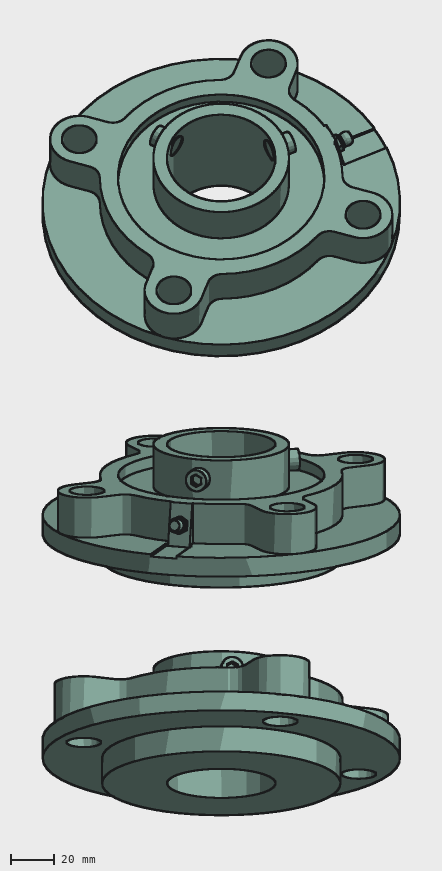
import cadquery as cq
import math

spigot_top = 12.0
flange_top = 21.0
body_top = 40.0
bearing_top = 54.6
recess_floor = 34.5

flange_diameter = 165.0
spigot_diameter = 110.0
body_diameter = 112.0
recess_diameter = 95.2
inner_ring_diameter = 62.6
bore_diameter = 50.0

lug_count = 4
first_lug_angle = 45.0
bolt_circle_diameter = 138.0
bolt_hole_diameter = 16.0
lug_radius = (flange_diameter - bolt_circle_diameter) / 2
lug_root_radius = 7.0

screw_diameter = 10.0
screw_height = 45.6
screw_recess = 0.2
screw_inner_end = bore_diameter / 2 + screw_recess
screw_outer_end = 36.0
screw_angles = (90.0, 210.0)
socket_across_flats = 5.0
socket_depth = 3.0

pad_width = 10.5
pad_tilt = 11.0
pad_top_reach = 56.8
pad_root_reach = (recess_diameter + body_diameter) / 4
pad_slope = math.tan(math.radians(pad_tilt))
pad_foot_reach = pad_top_reach + (body_top - flange_top) * pad_slope

groove_width = 12.5
groove_depth = 1.0

fitting_height = 29.9
fitting_hex_across_flats = 7.0
fitting_head_diameter = 6.7
fitting_neck_diameter = 6.0
fitting_tip_diameter = 4.9
fitting_hex_length = 2.5
fitting_neck_station = 3.7
fitting_head_station = 5.6
fitting_length = 8.2
fitting_dome_bulge = 0.25
fitting_root_depth = 2.0


def disc(diameter, bottom, top):
    """Upright cylinder on the Z axis between two levels."""
    return cq.Workplane("XY").workplane(offset=bottom).circle(diameter / 2).extrude(top - bottom)


def hexagon_circumdiameter(across_flats):
    """Diameter of the circle through the corners of a hexagon."""
    return across_flats / math.cos(math.radians(30))


def make_lug():
    """Lug along +X with parallel sides that blend into the round body."""
    bolt_radius = bolt_circle_diameter / 2
    body_radius = body_diameter / 2
    root_center_y = lug_radius + lug_root_radius
    root_center_distance = body_radius + lug_root_radius
    root_center_x = math.sqrt(root_center_distance**2 - root_center_y**2)
    body_share = body_radius / root_center_distance
    body_point = (root_center_x * body_share, root_center_y * body_share)

    body_direction = math.atan2(-root_center_y, -root_center_x) % (2 * math.pi)
    side_direction = 1.5 * math.pi
    middle_direction = (body_direction + side_direction) / 2
    root_middle = (
        root_center_x + lug_root_radius * math.cos(middle_direction),
        root_center_y + lug_root_radius * math.sin(middle_direction),
    )
    return (
        cq.Workplane("XY")
        .workplane(offset=flange_top)
        .moveTo(0, 0)
        .lineTo(*body_point)
        .threePointArc(root_middle, (root_center_x, lug_radius))
        .lineTo(bolt_radius, lug_radius)
        .threePointArc((bolt_radius + lug_radius, 0), (bolt_radius, -lug_radius))
        .lineTo(root_center_x, -lug_radius)
        .threePointArc((root_middle[0], -root_middle[1]), (body_point[0], -body_point[1]))
        .close()
        .extrude(body_top - flange_top)
    )


def make_pad():
    """Wedge whose outer face leans back toward the top of the body."""
    return (
        cq.Workplane("YZ")
        .moveTo(pad_root_reach, flange_top)
        .lineTo(pad_foot_reach, flange_top)
        .lineTo(pad_top_reach, body_top)
        .lineTo(pad_root_reach, body_top)
        .close()
        .extrude(pad_width / 2, both=True)
    )


def make_groove():
    """Flat-bottomed groove running from the foot of the pad out through the flange rim."""
    length = flange_diameter / 2 - pad_foot_reach
    return (
        cq.Workplane("XY")
        .box(groove_width, length, groove_depth, centered=(True, False, False))
        .translate((0, pad_foot_reach, flange_top - groove_depth))
    )


def make_housing():
    """Stepped round body with lugs, fitting pad, groove, bearing recess and bolt holes."""
    housing = disc(spigot_diameter, 0, spigot_top)
    housing = housing.union(disc(flange_diameter, spigot_top, flange_top))
    housing = housing.union(disc(body_diameter, flange_top, body_top))
    lug = make_lug()
    for index in range(lug_count):
        angle = first_lug_angle + index * 360 / lug_count
        housing = housing.union(lug.rotate((0, 0, 0), (0, 0, 1), angle))
    housing = housing.union(make_pad())
    housing = housing.cut(make_groove())
    housing = housing.cut(disc(recess_diameter, recess_floor, body_top))
    bolt_holes = (
        cq.Workplane("XY")
        .polarArray(bolt_circle_diameter / 2, first_lug_angle, 360, lug_count)
        .circle(bolt_hole_diameter / 2)
        .extrude(body_top)
    )
    return housing.cut(bolt_holes)


def radial_plane(angle, distance):
    """Plane at screw height that faces outward along the given direction."""
    direction = cq.Vector(math.cos(math.radians(angle)), math.sin(math.radians(angle)), 0)
    origin = direction * distance + cq.Vector(0, 0, screw_height)
    return cq.Plane(origin=origin, xDir=(0, 0, 1), normal=direction)


def add_set_screw(part, angle):
    """Socket set screw through the inner ring; its flat inner end sits just below the bore."""
    seat = cq.Workplane(radial_plane(angle, 0)).circle(screw_diameter / 2).extrude(screw_inner_end)
    screw = (
        cq.Workplane(radial_plane(angle, screw_inner_end))
        .circle(screw_diameter / 2)
        .extrude(screw_outer_end - screw_inner_end)
    )
    socket = (
        cq.Workplane(radial_plane(angle, screw_outer_end))
        .polygon(6, hexagon_circumdiameter(socket_across_flats))
        .extrude(-socket_depth)
    )
    return part.cut(seat).union(screw).cut(socket)


def make_grease_fitting():
    """Hexagon and round nipple, square to the sloping pad face."""
    tilt = math.radians(pad_tilt)
    face_reach = pad_top_reach + (body_top - fitting_height) * pad_slope
    base = cq.Plane(
        origin=(0, face_reach, fitting_height),
        xDir=(1, 0, 0),
        normal=(0, math.cos(tilt), math.sin(tilt)),
    )
    hexagon = (
        cq.Workplane(base)
        .workplane(offset=-fitting_root_depth)
        .transformed(rotate=(0, 0, 30))
        .polygon(6, hexagon_circumdiameter(fitting_hex_across_flats))
        .extrude(fitting_root_depth + fitting_hex_length)
    )
    profile = cq.Plane(origin=base.origin, xDir=(1, 0, 0), normal=base.yDir * -1)
    nipple = (
        cq.Workplane(profile)
        .moveTo(0, 0)
        .lineTo(fitting_head_diameter / 2, 0)
        .lineTo(fitting_head_diameter / 2, fitting_hex_length)
        .lineTo(fitting_neck_diameter / 2, fitting_neck_station)
        .lineTo(fitting_head_diameter / 2, fitting_head_station)
        .sagittaArc((fitting_tip_diameter / 2, fitting_length), -fitting_dome_bulge)
        .lineTo(0, fitting_length)
        .close()
        .revolve(360, (0, 0), (0, 1))
    )
    return hexagon.union(nipple)


inner_ring = disc(inner_ring_diameter, 0, bearing_top)
bore = disc(bore_diameter, 0, bearing_top)

result = make_housing().union(inner_ring).cut(bore)
for screw_angle in screw_angles:
    result = add_set_screw(result, screw_angle)
result = result.union(make_grease_fitting())